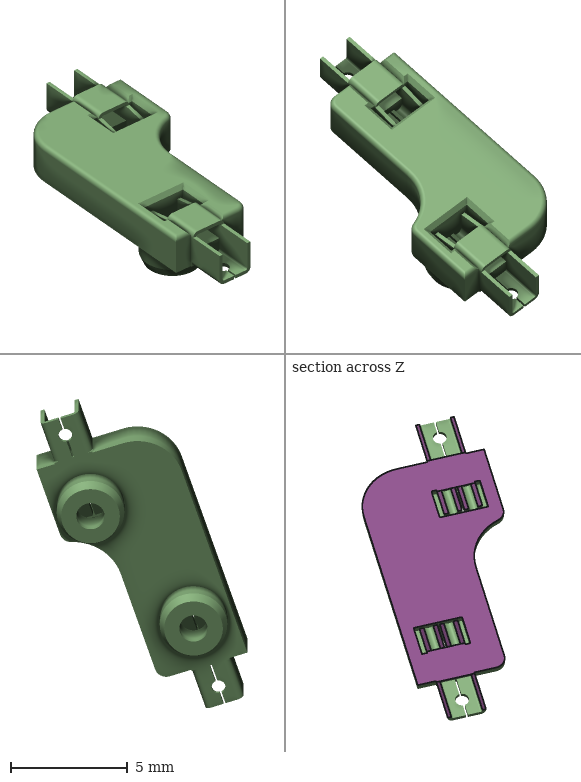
import cadquery as cq
import math

total_length = 14.8
peg_pitch_x = 6.35
peg_pitch_y = 2.55

housing_length = 10.92
housing_width = 5.89
housing_height = 1.8
top_fillet = 0.22
large_corner_radius = 2.0
small_corner_radius = 0.5
shoulder_y = 1.05
sweep_end_x = 0.27
sweep_radius = 2.15

peg_radius = 1.45
peg_height = 1.25
peg_chamfer_height = 0.45
peg_chamfer_width = 0.19
peg_hole_radius = 0.6

contact_width = 1.72
contact_length = 4.72
wall_height = 1.55
sheet = 0.18
outer_bend = 0.27
inner_bend = outer_bend - sheet
strap_start = 1.78
strap_end = 3.52
slot_width = 0.09
contact_hole_offset = 0.81
contact_hole_radius = 0.3
groove_radius = 0.24
wall_drop = 0.22

opening_chamfer = 0.19
pocket_start = 3.45
pocket_end = 4.81
pocket_width = 2.13
bar_start = 1.88
bar_height = 0.81

contact_turns = [0, 180]


def place(shape, turn):
    """Move a shape built along its contact's axis to one end of the part."""
    moved = shape.translate((-total_length / 2, peg_pitch_y / 2, 0))
    return moved.rotate((0, 0, 0), (0, 0, 1), turn)


def box(x_start, x_end, width, z_start, z_end):
    """Box centred across the contact axis."""
    return cq.Workplane("XY").box(
        x_end - x_start, width, z_end - z_start, centered=(False, True, False)
    ).translate((x_start, 0, z_start))


def flared_box(x_start, x_end, width):
    """Full-height cutter that flares at 45 degrees towards the housing top."""
    length = x_end - x_start
    flare = (
        cq.Workplane("XY", origin=((x_start + x_end) / 2, 0, housing_height - opening_chamfer))
        .rect(length, width)
        .workplane(offset=opening_chamfer)
        .rect(length + 2 * opening_chamfer, width + 2 * opening_chamfer)
        .loft(ruled=True)
    )
    return box(x_start, x_end, width, 0, housing_height).union(flare)


def crossbar():
    """Bar that bridges the housing opening and passes through the contact under its strap."""
    return box(bar_start, strap_end, contact_width, 0, bar_height)


def housing_plate():
    """Stepped plate with a concave sweep between its wide and narrow ends."""
    right = housing_length / 2
    left = -right
    back = housing_width / 2
    front = -back
    diagonal = math.sqrt(0.5)

    sweep_center_y = shoulder_y + sweep_radius
    corner_center_y = back - small_corner_radius
    center_distance = sweep_radius + small_corner_radius
    center_rise = sweep_center_y - corner_center_y
    center_run = math.sqrt(center_distance**2 - center_rise**2)
    corner_center_x = sweep_end_x - center_run
    tangent_angle = math.atan2(center_rise, center_run)

    def on_corner(angle):
        return (corner_center_x + small_corner_radius * math.cos(angle),
                corner_center_y + small_corner_radius * math.sin(angle))

    def on_sweep(angle):
        return (sweep_end_x + sweep_radius * math.cos(angle),
                sweep_center_y + sweep_radius * math.sin(angle))

    corner_mid = on_corner((tangent_angle + math.pi / 2) / 2)
    sweep_start_angle = tangent_angle + math.pi
    sweep_mid = on_sweep((sweep_start_angle + 3 * math.pi / 2) / 2)
    shoulder_inset = small_corner_radius * (1 - diagonal)
    large_inset = large_corner_radius * (1 - diagonal)

    plate = (
        cq.Workplane("XY")
        .moveTo(left, back)
        .lineTo(corner_center_x, back)
        .threePointArc(corner_mid, on_corner(tangent_angle))
        .threePointArc(sweep_mid, (sweep_end_x, shoulder_y))
        .lineTo(right - small_corner_radius, shoulder_y)
        .threePointArc(
            (right - shoulder_inset, shoulder_y - shoulder_inset),
            (right, shoulder_y - small_corner_radius),
        )
        .lineTo(right, front)
        .lineTo(left + large_corner_radius, front)
        .threePointArc(
            (left + large_inset, front + large_inset),
            (left, front + large_corner_radius),
        )
        .close()
        .extrude(housing_height)
    )
    return plate.faces(">Z").edges().fillet(top_fillet)


def peg():
    """Round peg with a tapered tip, standing below Z = 0."""
    tip_radius = peg_radius - peg_chamfer_width
    taper_z = peg_chamfer_height - peg_height
    return (
        cq.Workplane("XZ")
        .moveTo(0, 0)
        .lineTo(peg_radius, 0)
        .lineTo(peg_radius, taper_z)
        .lineTo(tip_radius, -peg_height)
        .lineTo(0, -peg_height)
        .close()
        .revolve(360, (0, 0, 0), (0, 1, 0))
    )


def make_housing():
    """Plate with pegs, contact openings, crossbars and a hole up each peg."""
    body = housing_plate()
    peg_x = (total_length - peg_pitch_x) / 2
    hole = (
        cq.Workplane("XY", origin=(peg_x, 0, -peg_height))
        .circle(peg_hole_radius)
        .extrude(peg_height)
    )
    opening = flared_box(0, pocket_start, contact_width).union(
        flared_box(pocket_start, pocket_end, pocket_width)
    )
    for turn in contact_turns:
        body = body.cut(place(opening, turn))
        body = body.union(place(peg().translate((peg_x, 0, 0)), turn))
        body = body.cut(place(hole, turn))
        body = body.union(place(crossbar(), turn))
    return body


def contact_channel():
    """Open U channel at the outer end."""
    outside = box(0, strap_start, contact_width, 0, wall_height).edges("|X and <Z").fillet(outer_bend)
    inside = box(0, strap_start, contact_width - 2 * sheet, sheet, wall_height)
    return outside.cut(inside.edges("|X and <Z").fillet(inner_bend))


def contact_strap():
    """Closed rectangular loop in the middle."""
    outside = box(strap_start, strap_end, contact_width, 0, housing_height)
    inside = box(strap_start, strap_end, contact_width - 2 * sheet, sheet, housing_height - sheet)
    return outside.edges("|X").fillet(outer_bend).cut(inside.edges("|X").fillet(inner_bend))


def contact_cradle():
    """Inner end: sloping walls over a floor with two half-round grooves."""
    cavity_width = contact_width - 2 * sheet
    groove_y = cavity_width / 2 - groove_radius
    ridge_z = sheet + groove_radius
    cradle = box(strap_end, contact_length, contact_width, 0, wall_height).edges("|X and <Z").fillet(outer_bend)
    cradle = cradle.cut(box(strap_end, contact_length, cavity_width, ridge_z, wall_height))
    grooves = (
        cq.Workplane("YZ", origin=(strap_end, 0, 0))
        .pushPoints([(-groove_y, ridge_z), (groove_y, ridge_z)])
        .circle(groove_radius)
        .extrude(contact_length - strap_end)
    )
    wall_slope = (
        cq.Workplane("XZ")
        .polyline([
            (strap_end, wall_height),
            (contact_length, wall_height),
            (contact_length, wall_height - wall_drop),
        ])
        .close()
        .extrude(contact_width / 2, both=True)
    )
    return cradle.cut(grooves).cut(wall_slope)


def make_contact():
    """Sheet contact, split along its floor and notched around the crossbar."""
    contact = contact_channel().union(contact_strap()).union(contact_cradle())
    floor_slot = box(0, contact_length, slot_width, 0, sheet + groove_radius)
    floor_hole = (
        cq.Workplane("XY", origin=(contact_hole_offset, 0, 0))
        .circle(contact_hole_radius)
        .extrude(sheet)
    )
    return contact.cut(floor_slot).cut(floor_hole).cut(crossbar())


housing = make_housing()
contacts = [place(make_contact(), turn) for turn in contact_turns]

result = cq.Compound.makeCompound([housing.val(), *[contact.val() for contact in contacts]])